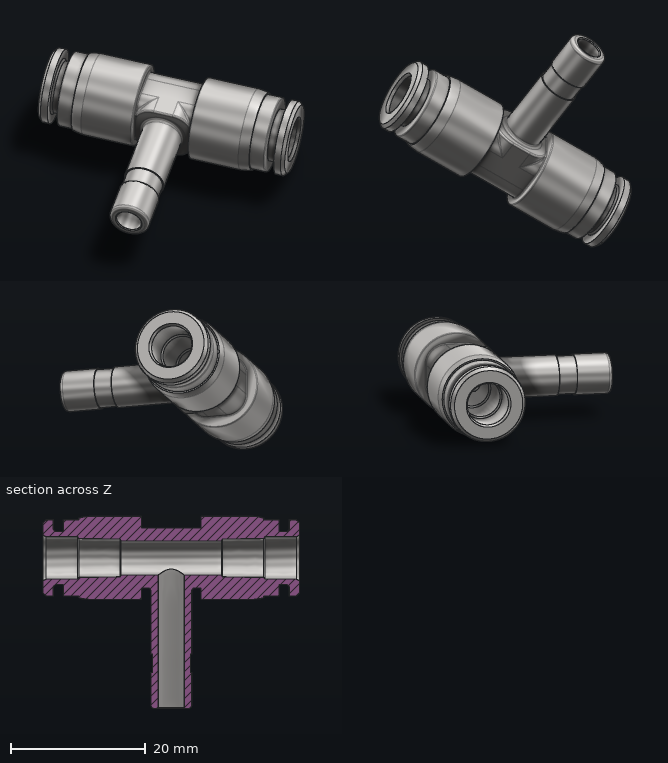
import cadquery as cq
import math


half_length = 19.1

block_half = 4.47
block_corner_radius = 2.98
block_rim_radius = 0.25
block_valley_radius = 0.4
block_root_radius = 0.17

socket_inner_x = 4.4
shoulder_curve_start_x = 12.2
shoulder_step_x = 13.8
socket_mouth_x = 16.1
flange_back_x = 17.55
socket_radius = 6.208
shoulder_step_radius = 5.92
socket_mouth_radius = 5.7
neck_radius = 3.97
neck_root_chamfer = 0.3
flange_chamfer = 0.5
socket_edge_radius = 0.135

tube_mouth_radius = 3.4
tube_entry_radius = 3.15
tube_entry_chamfer_depth = 0.5
grip_outer_x = 13.75
grip_outer_radius = 2.85
grip_inner_x = 7.65
grip_inner_radius = 2.8
bore_step_angle = 55.0
passage_radius = 2.52

stem_end_y = 22.405
stem_radius = 3.05
stem_tip_radius = 0.55
stem_root_radius = 0.5
stem_groove_start_y = 14.3
stem_groove_end_y = 17.0
stem_groove_radius = 2.85
stem_bore_radius = 1.9
stem_bore_chamfer = 0.15


def rounded_square(plane, lengthwise, length):
    """Bar with the block's rounded square section; lengthwise selects its long edges."""
    side = 2 * block_half
    bar = cq.Workplane(plane).rect(side, side).extrude(length)
    return bar.edges(lengthwise).fillet(block_corner_radius)


def block():
    """Bar along X joined by a branch bar that ends in a rounded rim on the -Y face."""
    half_bar_length = socket_inner_x + block_root_radius
    run = rounded_square("YZ", "|X", 2 * half_bar_length).translate((-half_bar_length, 0, 0))
    branch = rounded_square("XZ", "|Y", block_half).faces("<Y").edges().fillet(block_rim_radius)
    valleys = "%ELLIPSE"
    return run.union(branch).edges(valleys).fillet(block_valley_radius)


def socket():
    """Solid of revolution about +X: socket body, neck and release flange."""
    curve_run = shoulder_step_x - shoulder_curve_start_x
    curve_rise = socket_radius - shoulder_step_radius
    curve_radius = (curve_run**2 + curve_rise**2) / (2 * curve_rise)
    half_angle = math.asin(curve_run / curve_radius) / 2
    curve_mid = (
        shoulder_curve_start_x + curve_radius * math.sin(half_angle),
        socket_radius - curve_radius * (1 - math.cos(half_angle)),
    )
    edge = socket_edge_radius
    profile = (
        cq.Workplane("XY")
        .moveTo(socket_inner_x, 0)
        .lineTo(socket_inner_x, socket_radius - edge)
        .radiusArc((socket_inner_x + edge, socket_radius), edge)
        .lineTo(shoulder_curve_start_x, socket_radius)
        .threePointArc(curve_mid, (shoulder_step_x, shoulder_step_radius))
        .lineTo(shoulder_step_x, socket_mouth_radius)
        .lineTo(socket_mouth_x - edge, socket_mouth_radius)
        .radiusArc((socket_mouth_x, socket_mouth_radius - edge), edge)
        .lineTo(socket_mouth_x, neck_radius)
        .lineTo(flange_back_x - neck_root_chamfer, neck_radius)
        .lineTo(flange_back_x, neck_radius + neck_root_chamfer)
        .lineTo(flange_back_x, socket_mouth_radius)
        .lineTo(half_length - flange_chamfer, socket_mouth_radius)
        .lineTo(half_length, socket_mouth_radius - flange_chamfer)
        .lineTo(half_length, 0)
        .close()
    )
    return profile.revolve(360, (0, 0, 0), (1, 0, 0))


def socket_bore():
    """Bore along +X, narrowing from the mouth to the grip and on to the through passage."""
    step_slope = math.tan(math.radians(bore_step_angle))
    entry_step_length = (tube_entry_radius - grip_outer_radius) / step_slope
    passage_step_length = (grip_inner_radius - passage_radius) / step_slope
    profile = (
        cq.Workplane("XY")
        .lineTo(0, passage_radius)
        .lineTo(grip_inner_x - passage_step_length, passage_radius)
        .lineTo(grip_inner_x, grip_inner_radius)
        .lineTo(grip_outer_x, grip_outer_radius)
        .lineTo(grip_outer_x + entry_step_length, tube_entry_radius)
        .lineTo(half_length - tube_entry_chamfer_depth, tube_entry_radius)
        .lineTo(half_length, tube_mouth_radius)
        .lineTo(half_length, 0)
        .close()
    )
    return profile.revolve(360, (0, 0, 0), (1, 0, 0))


def stem():
    """Stem along -Y with a flared root, a shallow retaining groove and a rounded tip."""
    root_y = block_half
    profile = (
        cq.Workplane("XY")
        .lineTo(stem_radius + stem_root_radius, 0)
        .lineTo(stem_radius + stem_root_radius, -root_y)
        .radiusArc((stem_radius, -root_y - stem_root_radius), -stem_root_radius)
        .lineTo(stem_radius, -stem_groove_start_y)
        .lineTo(stem_groove_radius, -stem_groove_start_y)
        .lineTo(stem_groove_radius, -stem_groove_end_y)
        .lineTo(stem_radius, -stem_groove_end_y)
        .lineTo(stem_radius, -stem_end_y + stem_tip_radius)
        .radiusArc((stem_radius - stem_tip_radius, -stem_end_y), stem_tip_radius)
        .lineTo(0, -stem_end_y)
        .close()
    )
    return profile.revolve(360, (0, 0, 0), (0, 1, 0))


def stem_bore():
    profile = (
        cq.Workplane("XY")
        .lineTo(stem_bore_radius, 0)
        .lineTo(stem_bore_radius, -stem_end_y + stem_bore_chamfer)
        .lineTo(stem_bore_radius + stem_bore_chamfer, -stem_end_y)
        .lineTo(0, -stem_end_y)
        .close()
    )
    return profile.revolve(360, (0, 0, 0), (0, 1, 0))


def both_ends(shape):
    return shape.union(shape.mirror("YZ"))


def block_roots(side):
    """Selects the edges where the block meets the inner face of one socket (side is +1 or -1)."""
    face_x = side * socket_inner_x
    margin = 0.005
    reach = block_half + margin
    low_corner = (face_x - margin, -reach, -reach)
    high_corner = (face_x + margin, reach, reach)
    return cq.selectors.BoxSelector(low_corner, high_corner, boundingbox=True)


run_body = block().union(both_ends(socket()))
run_body = run_body.edges(block_roots(1) + block_roots(-1)).fillet(block_root_radius)
result = run_body.union(stem())
result = result.cut(both_ends(socket_bore())).cut(stem_bore())